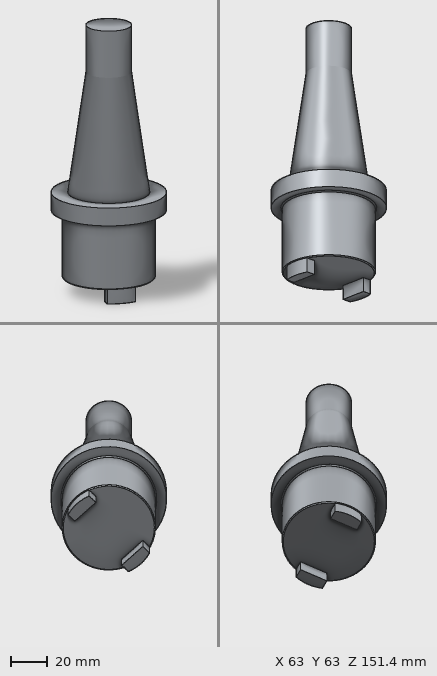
import cadquery as cq

total_height = 151.4
body_bottom = 8.2
flange_bottom = 46.3
flange_top = 56.5
cone_top = 124.8

flange_radius = 63.0 / 2
body_radius = 50.9 / 2
cone_base_radius = 44.8 / 2
shank_radius = 25.0 / 2

bottom_chamfer = 0.6
flange_chamfer = 0.8

lug_outer_radius = 25.0
lug_width = 16.0
lug_inner_distance = 18.3


def turned_body():
    """Body, flange, taper and shank, revolved about Z."""
    profile = [
        (0, body_bottom),
        (body_radius - bottom_chamfer, body_bottom),
        (body_radius, body_bottom + bottom_chamfer),
        (body_radius, flange_bottom - flange_chamfer),
        (body_radius + flange_chamfer, flange_bottom),
        (flange_radius, flange_bottom),
        (flange_radius, flange_top),
        (cone_base_radius, flange_top),
        (shank_radius, cone_top),
        (shank_radius, total_height),
        (0, total_height),
    ]
    return cq.Workplane("XZ").polyline(profile).close().revolve(360, (0, 0, 0), (0, 1, 0))


def drive_lugs():
    """Two flat-sided lugs with rounded outer faces."""
    lug_height = body_bottom + bottom_chamfer
    disc = cq.Workplane("XY").circle(lug_outer_radius).extrude(lug_height)
    bar = cq.Workplane("XY").rect(2 * lug_outer_radius, lug_width).extrude(lug_height)
    gap = cq.Workplane("XY").rect(2 * lug_inner_distance, lug_width).extrude(lug_height)
    return disc.intersect(bar).cut(gap)


result = turned_body().union(drive_lugs())